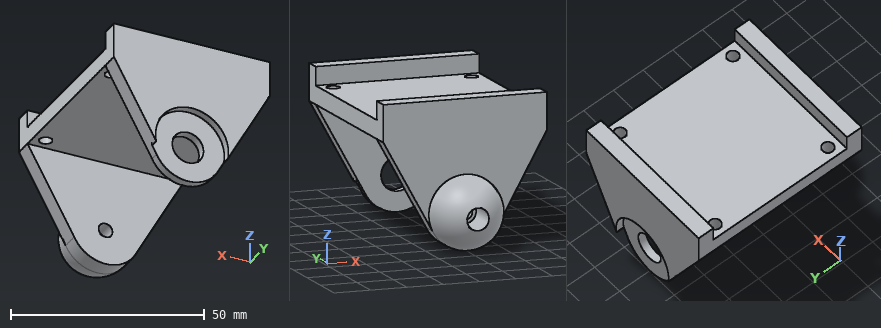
import cadquery as cq
import math

width = 45.0
inner_length = 45.0
wall = 5.0
outer_length = inner_length + 2 * wall
height = 40.0
rim_height = 5.0
plate_thickness = 5.0
plate_top = height - rim_height
plate_bottom = plate_top - plate_thickness

mount_hole_diameter = 3.5
mount_hole_spacing = 38.0

pivot_radius = 10.0
pivot_height = pivot_radius
arc_end_height = 5.8
bolt_diameter = 4.0
ball_radius = pivot_radius
bore_diameter = 6.0
socket_radius = 10.5
socket_depth = 2.4
rear_hole_diameter = 9.0

front_face = -outer_length / 2
rear_face = outer_length / 2


def pivot_cylinder(radius, start_y, length):
    """Cylinder on the pivot axis, running from start_y toward +Y."""
    return (
        cq.Workplane("XZ", origin=(0, start_y, pivot_height))
        .circle(radius)
        .extrude(-length)
    )


def tapered_wall(start_y):
    """Wall whose sides slope in from the platform to the rounded end."""
    arc_end_x = math.sqrt(pivot_radius**2 - (pivot_height - arc_end_height) ** 2)
    return (
        cq.Workplane("XZ", origin=(0, start_y, 0))
        .moveTo(-width / 2, height)
        .lineTo(width / 2, height)
        .lineTo(width / 2, plate_bottom)
        .lineTo(arc_end_x, arc_end_height)
        .threePointArc((0, 0), (-arc_end_x, arc_end_height))
        .lineTo(-width / 2, plate_bottom)
        .close()
        .extrude(-wall)
    )


def platform():
    """Flat plate between the walls, with a through hole near each corner."""
    return (
        cq.Workplane("XY", origin=(0, 0, plate_bottom))
        .rect(width, outer_length)
        .extrude(plate_thickness)
        .faces(">Z")
        .workplane()
        .rect(mount_hole_spacing, mount_hole_spacing, forConstruction=True)
        .vertices()
        .hole(mount_hole_diameter)
    )


def half_ball():
    """Half ball on the front wall, bored along the pivot axis."""
    bore_radius = bore_diameter / 2
    bore_end_y = -math.sqrt(ball_radius**2 - bore_radius**2)
    arc_middle = ball_radius * math.sqrt(0.5)
    return (
        cq.Workplane("XY", origin=(0, front_face, pivot_height))
        .moveTo(bore_radius, 0)
        .lineTo(ball_radius, 0)
        .threePointArc((arc_middle, -arc_middle), (bore_radius, bore_end_y))
        .close()
        .revolve(360, (0, 0, 0), (0, 1, 0))
    )


front_wall = tapered_wall(front_face)
rear_wall = tapered_wall(rear_face - wall)
body = platform().union(front_wall).union(rear_wall).union(half_ball())

body = body.cut(pivot_cylinder(bolt_diameter / 2, front_face, wall))

body = body.cut(pivot_cylinder(socket_radius, rear_face - socket_depth, socket_depth))
body = body.cut(pivot_cylinder(rear_hole_diameter / 2, rear_face - wall, wall))

result = body